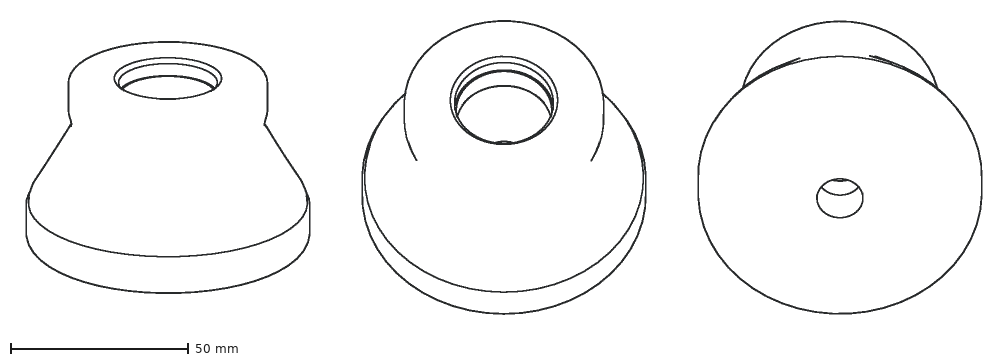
import cadquery as cq
import math

BOLT_HOLE_RADIUS = 6.5
BOLT_HOLE_CHAMFER = 0.5

BASE_RADIUS = 40.0
BASE_HEIGHT = 11.9
BASE_BOTTOM_FILLET = 3.2
BASE_TOP_FILLET = 0.5

TOTAL_HEIGHT = 50.0
SKIRT_RADIUS = 39.3
SKIRT_BAND_HEIGHT = 0.6
SHOULDER_ARC_RADIUS = 5.5
CONE_ANGLE = 30.0
NECK_RADIUS = 27.3
NECK_ARC_RADIUS = 6.0
FLARE_ANGLE = 15.0
RIM_RADIUS = 28.1
RIM_LOWER_FILLET = 2.0
RIM_TOP_FILLET = 1.5

MOUTH_RADIUS = 13.9
MOUTH_CHAMFER = 1.2
MOUTH_CHAMFER_DEPTH = 1.3
MOUTH_DEPTH = 5.0
LAND_RADIUS = 13.4
LAND_BOTTOM_DEPTH = 11.9
UNDERCUT_WIDTH = 0.7
UNDERCUT_ANGLE = 30.0
FLOOR_THICKNESS = 8.0
FLOOR_FILLET = 1.0


def arc_point(center, radius, degrees):
    """Point (r, z) on a circle in the profile plane, at an angle from the outward direction."""
    angle = math.radians(degrees)
    return (center[0] + radius * math.cos(angle), center[1] + radius * math.sin(angle))


def make_base():
    disc = cq.Workplane("XY").circle(BASE_RADIUS).circle(BOLT_HOLE_RADIUS).extrude(BASE_HEIGHT)
    outer_edge = cq.selectors.RadiusNthSelector(-1)
    disc = disc.faces("<Z").edges(outer_edge).fillet(BASE_BOTTOM_FILLET)
    return disc.faces(">Z").edges(outer_edge).fillet(BASE_TOP_FILLET)


def make_collar_blank():
    shoulder_center = (SKIRT_RADIUS - SHOULDER_ARC_RADIUS, BASE_HEIGHT + SKIRT_BAND_HEIGHT)
    shoulder_start = arc_point(shoulder_center, SHOULDER_ARC_RADIUS, 0)
    shoulder_middle = arc_point(shoulder_center, SHOULDER_ARC_RADIUS, CONE_ANGLE / 2)
    shoulder_end = arc_point(shoulder_center, SHOULDER_ARC_RADIUS, CONE_ANGLE)

    neck_center_radius = NECK_RADIUS + NECK_ARC_RADIUS
    neck_start_radius = neck_center_radius - NECK_ARC_RADIUS * math.cos(math.radians(CONE_ANGLE))
    cone_height = (shoulder_end[0] - neck_start_radius) / math.tan(math.radians(CONE_ANGLE))
    neck_start_height = shoulder_end[1] + cone_height
    neck_center_height = neck_start_height + NECK_ARC_RADIUS * math.sin(math.radians(CONE_ANGLE))
    neck_center = (neck_center_radius, neck_center_height)
    neck_middle = arc_point(neck_center, NECK_ARC_RADIUS, 180)
    neck_end = arc_point(neck_center, NECK_ARC_RADIUS, 180 - FLARE_ANGLE)

    flare_height = (RIM_RADIUS - neck_end[0]) / math.tan(math.radians(FLARE_ANGLE))
    rim_bottom = neck_end[1] + flare_height

    profile = (
        cq.Workplane("XZ")
        .moveTo(0, BASE_HEIGHT)
        .lineTo(SKIRT_RADIUS, BASE_HEIGHT)
        .lineTo(*shoulder_start)
        .threePointArc(shoulder_middle, shoulder_end)
        .lineTo(neck_start_radius, neck_start_height)
        .threePointArc(neck_middle, neck_end)
        .lineTo(RIM_RADIUS, rim_bottom)
        .lineTo(RIM_RADIUS, TOTAL_HEIGHT)
        .lineTo(0, TOTAL_HEIGHT)
        .close()
    )
    blank = profile.revolve(360, (0, 0, 0), (0, 1, 0))
    blank = blank.faces(">Z").edges().fillet(RIM_TOP_FILLET)
    rim_bottom_edge = cq.selectors.NearestToPointSelector((0, 0, rim_bottom))
    return blank.edges("%CIRCLE").edges(rim_bottom_edge).fillet(RIM_LOWER_FILLET)


def make_bore():
    floor = BASE_HEIGHT + FLOOR_THICKNESS
    land_top = TOTAL_HEIGHT - MOUTH_DEPTH
    land_bottom = TOTAL_HEIGHT - LAND_BOTTOM_DEPTH
    lower_radius = LAND_RADIUS + UNDERCUT_WIDTH
    undercut_bottom = land_bottom - UNDERCUT_WIDTH / math.tan(math.radians(UNDERCUT_ANGLE))
    bore = (
        cq.Workplane("XZ")
        .moveTo(0, floor)
        .lineTo(lower_radius, floor)
        .lineTo(lower_radius, undercut_bottom)
        .lineTo(LAND_RADIUS, land_bottom)
        .lineTo(LAND_RADIUS, land_top)
        .lineTo(MOUTH_RADIUS, land_top)
        .lineTo(MOUTH_RADIUS, TOTAL_HEIGHT - MOUTH_CHAMFER_DEPTH)
        .lineTo(MOUTH_RADIUS + MOUTH_CHAMFER, TOTAL_HEIGHT)
        .lineTo(0, TOTAL_HEIGHT)
        .close()
        .revolve(360, (0, 0, 0), (0, 1, 0))
    )
    return bore.faces("<Z").edges().fillet(FLOOR_FILLET)


def make_collar_bolt_hole():
    floor = BASE_HEIGHT + FLOOR_THICKNESS
    return (
        cq.Workplane("XZ")
        .moveTo(0, BASE_HEIGHT)
        .lineTo(BOLT_HOLE_RADIUS, BASE_HEIGHT)
        .lineTo(BOLT_HOLE_RADIUS, floor - BOLT_HOLE_CHAMFER)
        .lineTo(BOLT_HOLE_RADIUS + BOLT_HOLE_CHAMFER, floor)
        .lineTo(0, floor)
        .close()
        .revolve(360, (0, 0, 0), (0, 1, 0))
    )


def make_collar():
    return make_collar_blank().cut(make_bore()).cut(make_collar_bolt_hole())


base = make_base()
collar = make_collar()
result = cq.Compound.makeCompound([base.val(), collar.val()])